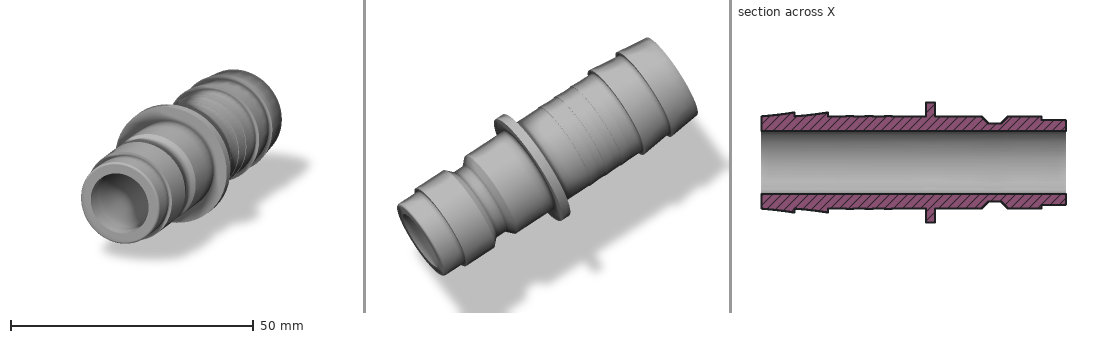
import cadquery as cq

length = 63.0
bore_radius = 6.5
body_radius = 9.6

tip_radius = 8.8
tip_length = 5.05
tip_fillet = 0.45
groove_radius = 8.05
groove_start = 12.05
groove_floor_length = 2.5
groove_slope_length = 1.5

collar_diameter = 25.0
collar_start = 27.0
collar_width = 1.95

ridge_radius = 9.7
ridge_count = 3
ridge_start = 36.05
ridge_length = 2.1
ridge_pitch = 4.0
barb_radius = 10.4
barb_count = 2
barb_length = 6.9


def place(y):
    """Position along the axis, with y measured from the plug end."""
    return y - length / 2


def cylinder(radius, start, height):
    """Solid cylinder along +Y."""
    plane = cq.Plane(origin=(0, place(start), 0), xDir=(1, 0, 0), normal=(0, 1, 0))
    return cq.Workplane(plane).circle(radius).extrude(height)


def tooth(peak_radius, start, tooth_length):
    """Cone frustum with its sharp step facing the plug, tapering to the body radius."""
    outline = [
        (0, place(start)),
        (peak_radius, place(start)),
        (body_radius, place(start + tooth_length)),
        (0, place(start + tooth_length)),
    ]
    return cq.Workplane("XY").polyline(outline).close().revolve(360, (0, 0, 0), (0, 1, 0))


def shank():
    """Stepped solid body with the rounded tip and the locking groove."""
    floor_start = groove_start + groove_slope_length
    floor_end = floor_start + groove_floor_length
    groove_end = floor_end + groove_slope_length
    outline = [
        (0, place(0)),
        (tip_radius, place(0)),
        (tip_radius, place(tip_length)),
        (body_radius, place(tip_length)),
        (body_radius, place(groove_start)),
        (groove_radius, place(floor_start)),
        (groove_radius, place(floor_end)),
        (body_radius, place(groove_end)),
        (body_radius, place(length)),
        (0, place(length)),
    ]
    body = cq.Workplane("XY").polyline(outline).close().revolve(360, (0, 0, 0), (0, 1, 0))
    return body.faces("<Y").edges().fillet(tip_fillet)


result = shank().union(cylinder(collar_diameter / 2, collar_start, collar_width))

for index in range(ridge_count):
    result = result.union(tooth(ridge_radius, ridge_start + index * ridge_pitch, ridge_length))

for index in range(barb_count):
    barb_start = length - (index + 1) * barb_length
    result = result.union(tooth(barb_radius, barb_start, barb_length))

result = result.cut(cylinder(bore_radius, 0, length))